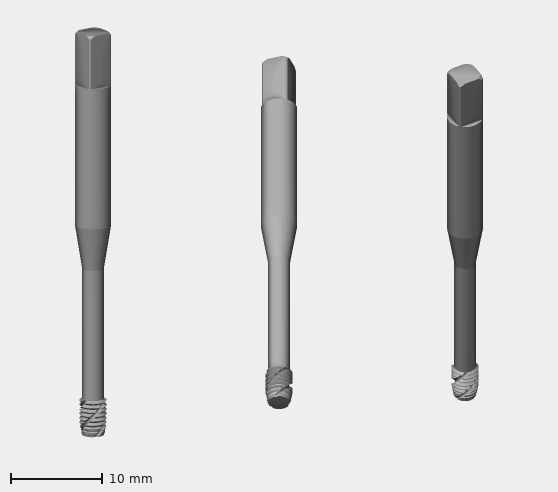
import cadquery as cq

section_plane = cq.Plane(origin=(0, 0, 0), xDir=(0, -1, 0), normal=(-1, 0, 0))

total_length = 46.0
square_length = 6.0
shank_length = 16.0
taper_bottom = 19.0

shank_diameter = 4.0
neck_diameter = 2.4
square_width = 3.0
square_end_chamfer = 0.3

thread_diameter = 3.0
thread_pitch = 0.5
thread_root_diameter = 2.4
crest_width = thread_pitch / 8
ridge_count = 8
first_crest_height = 0.4
head_length = first_crest_height + (ridge_count - 0.5) * thread_pitch

tip_diameter = 2.5
lead_length = 1.5

flute_count = 3
flute_lead = 8.0
flute_radius = 0.35
flute_floor_radius = 1.1
flute_start_angle = 96.0

square_bottom = total_length - square_length
shank_bottom = square_bottom - shank_length


def make_shank():
    """Neck, taper, round shank and the driving square as one solid."""
    shank_radius = shank_diameter / 2
    neck_radius = neck_diameter / 2
    turned = (
        cq.Workplane(section_plane)
        .moveTo(0, head_length)
        .lineTo(neck_radius, head_length)
        .lineTo(neck_radius, taper_bottom)
        .lineTo(shank_radius, shank_bottom)
        .lineTo(shank_radius, total_length - square_end_chamfer)
        .lineTo(shank_radius - square_end_chamfer, total_length)
        .lineTo(0, total_length)
        .close()
        .revolve(360, (0, 0, 0), (0, 1, 0))
    )
    around_square = (
        cq.Workplane("XY")
        .workplane(offset=square_bottom)
        .circle(shank_diameter)
        .rect(square_width, square_width)
        .extrude(square_length)
    )
    return turned.cut(around_square)


def make_ridged_blank():
    """Turned head with full-height thread ridges from tip to neck."""
    root_radius = thread_root_diameter / 2
    crest_radius = thread_diameter / 2
    profile = cq.Workplane(section_plane).moveTo(0, 0).lineTo(root_radius, 0)
    for ridge in range(ridge_count):
        crest_z = first_crest_height + ridge * thread_pitch
        profile = (
            profile.lineTo(root_radius, crest_z - thread_pitch / 2)
            .lineTo(crest_radius, crest_z - crest_width / 2)
            .lineTo(crest_radius, crest_z + crest_width / 2)
        )
    return (
        profile.lineTo(root_radius, head_length)
        .lineTo(0, head_length)
        .close()
        .revolve(360, (0, 0, 0), (0, 1, 0))
    )


def make_lead_envelope():
    """Cone and cylinder that trim the ridges near the tip."""
    crest_radius = thread_diameter / 2
    return (
        cq.Workplane(section_plane)
        .moveTo(0, 0)
        .lineTo(tip_diameter / 2, 0)
        .lineTo(crest_radius, lead_length)
        .lineTo(crest_radius, head_length)
        .lineTo(0, head_length)
        .close()
        .revolve(360, (0, 0, 0), (0, 1, 0))
    )


def make_cutting_head():
    """Ridged head with a tapered lead and helical flutes."""
    head = make_ridged_blank().intersect(make_lead_envelope())
    flutes = (
        cq.Workplane("XY")
        .polarArray(flute_floor_radius + flute_radius, flute_start_angle, 360, flute_count)
        .circle(flute_radius)
        .twistExtrude(head_length, 360 * head_length / flute_lead)
    )
    return head.cut(flutes)


shank = make_shank()
cutting_head = make_cutting_head()

result = cq.Compound.makeCompound([shank.val(), *cutting_head.vals()])